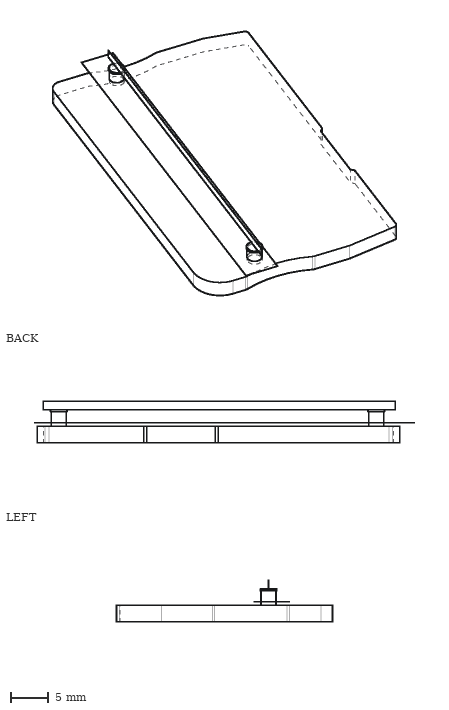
import cadquery as cq

PLATE_LENGTH = 48.6
PLATE_WIDTH = 29.0
PLATE_THICKNESS = 2.25
FRONT_LEFT_RADIUS = 1.6
FRONT_RIGHT_RADIUS = 4.0
BACK_CORNER_RADIUS = 0.5

TAPER_INSET = 1.1
LEFT_TAPER_START = 23.0
RIGHT_TAPER_START = 21.3

WAIST_FRONT = 6.0
WAIST_BACK = 16.0
WAIST_MIDDLE = (WAIST_FRONT + WAIST_BACK) / 2
WAIST_DEPTH = 0.85
WAIST_EDGE_RADIUS = 1.0

NOTCH_LEFT = 24.35
NOTCH_RIGHT = 34.3
NOTCH_DEPTH = 0.45
NOTCH_SLOPE = 0.4

PIN_Y = 8.6
PIN_LEFT_X = 3.15
PIN_SPACING = 42.55
PIN_RADIUS = 1.02
PIN_HEIGHT = 2.2
BEAD_HEIGHT = 0.3
BEAD_BULGE = 0.1

FOIL_THICKNESS = 0.02
STRIP_LENGTH = 50.82
STRIP_LEFT = -1.92
STRIP_FRONT = 5.8
STRIP_WIDTH = 4.7
STRIP_GAP = 0.45
BLADE_LENGTH = 47.2
BLADE_LEFT = 0.6
BLADE_HEIGHT = 1.15

PIN_TOP = PLATE_THICKNESS + PIN_HEIGHT


def vertical_edges_at(plate, points):
    """Select the upright edges of the plate that pass through the given (x, y) points."""
    middle = PLATE_THICKNESS / 2
    edges = cq.Workplane("XY")
    for x, y in points:
        edges = edges.add(plate.edges(cq.NearestToPointSelector((x, y, middle))))
    return edges.vals()


def round_edges(plate, points, radius):
    return plate.newObject([plate.val().fillet(radius, vertical_edges_at(plate, points))])


def make_plate():
    front_left = (0, 0)
    front_right = (PLATE_LENGTH, 0)
    back_left = (TAPER_INSET, PLATE_WIDTH)
    back_right = (PLATE_LENGTH - TAPER_INSET, PLATE_WIDTH)
    waist_ends = [(x, y) for x in (0, PLATE_LENGTH) for y in (WAIST_FRONT, WAIST_BACK)]
    notch_floor = PLATE_WIDTH - NOTCH_DEPTH

    plate = (
        cq.Workplane("XY")
        .moveTo(*front_left)
        .lineTo(*front_right)
        .lineTo(PLATE_LENGTH, WAIST_FRONT)
        .threePointArc((PLATE_LENGTH - WAIST_DEPTH, WAIST_MIDDLE), (PLATE_LENGTH, WAIST_BACK))
        .lineTo(PLATE_LENGTH, RIGHT_TAPER_START)
        .lineTo(*back_right)
        .lineTo(NOTCH_RIGHT, PLATE_WIDTH)
        .lineTo(NOTCH_RIGHT - NOTCH_SLOPE, notch_floor)
        .lineTo(NOTCH_LEFT + NOTCH_SLOPE, notch_floor)
        .lineTo(NOTCH_LEFT, PLATE_WIDTH)
        .lineTo(*back_left)
        .lineTo(0, LEFT_TAPER_START)
        .lineTo(0, WAIST_BACK)
        .threePointArc((WAIST_DEPTH, WAIST_MIDDLE), (0, WAIST_FRONT))
        .close()
        .extrude(PLATE_THICKNESS)
    )
    plate = round_edges(plate, [front_left], FRONT_LEFT_RADIUS)
    plate = round_edges(plate, [front_right], FRONT_RIGHT_RADIUS)
    plate = round_edges(plate, [back_left, back_right], BACK_CORNER_RADIUS)
    return round_edges(plate, waist_ends, WAIST_EDGE_RADIUS)


def make_pin(x):
    """Round pin rooted in the plate, with a rounded bead around its top."""
    pin = (
        cq.Workplane("XZ")
        .lineTo(-PIN_RADIUS, 0)
        .lineTo(-PIN_RADIUS, PIN_TOP - BEAD_HEIGHT)
        .threePointArc(
            (-PIN_RADIUS - BEAD_BULGE, PIN_TOP - BEAD_HEIGHT / 2),
            (-PIN_RADIUS, PIN_TOP),
        )
        .lineTo(0, PIN_TOP)
        .close()
        .revolve(360, (0, 0), (0, 1))
    )
    return pin.translate((x, PIN_Y, 0))


def make_strip():
    strip = cq.Workplane("XY").box(STRIP_LENGTH, STRIP_WIDTH, FOIL_THICKNESS, centered=False)
    return strip.translate((STRIP_LEFT, STRIP_FRONT, PLATE_THICKNESS + STRIP_GAP))


def make_blade():
    blade = cq.Workplane("XY").box(BLADE_LENGTH, FOIL_THICKNESS, BLADE_HEIGHT, centered=False)
    return blade.translate((BLADE_LEFT, PIN_Y - FOIL_THICKNESS / 2, PIN_TOP))


result = make_plate()
for pin_x in (PIN_LEFT_X, PIN_LEFT_X + PIN_SPACING):
    result = result.union(make_pin(pin_x))
result = result.union(make_strip()).union(make_blade())